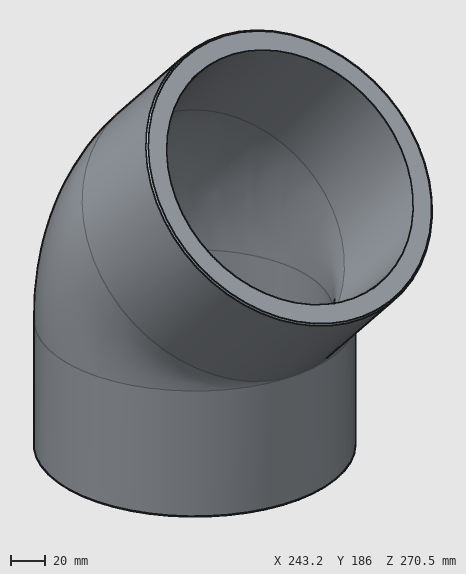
import cadquery as cq
import math

outer_diameter = 186.0
bore_diameter = 160.0
overall_height = 270.5
rim_chamfer = 1.0
bend_angle = 45

outer_radius = outer_diameter / 2
bore_radius = bore_diameter / 2

tilt = math.radians(bend_angle)
bend_rise = outer_diameter * math.sin(tilt)
chamfer_loss = rim_chamfer * math.cos(tilt)
end_length = (overall_height - bend_rise + chamfer_loss) / (1 + math.cos(tilt))

bore_length = end_length + (outer_radius - bore_radius) * math.tan(tilt / 2)


def straight_end(radius, length):
    """Vertical cylinder standing on the XY plane."""
    return cq.Workplane("XY").circle(radius).extrude(length)


def bend(radius, length):
    """Curved middle section, turned about a line parallel to Y that touches its own inner side."""
    return (
        cq.Workplane("XY", origin=(0, 0, length))
        .circle(radius)
        .revolve(bend_angle, (radius, 0), (radius, 1))
    )


def elbow(lower_end, radius, length):
    """Lower end, bend, and a mirrored copy of the lower end turned to meet the bend."""
    pivot_start = (radius, 0, length)
    pivot_end = (radius, 1, length)
    mirrored = lower_end.mirror("XY", pivot_start)
    upper_end = mirrored.rotate(pivot_start, pivot_end, bend_angle)
    return lower_end.union(bend(radius, length)).union(upper_end)


outer_end = straight_end(outer_radius, end_length).faces("<Z").edges().chamfer(rim_chamfer)
outside = elbow(outer_end, outer_radius, end_length)

bore_end = straight_end(bore_radius, bore_length)
bore = elbow(bore_end, bore_radius, bore_length)

result = outside.cut(bore)